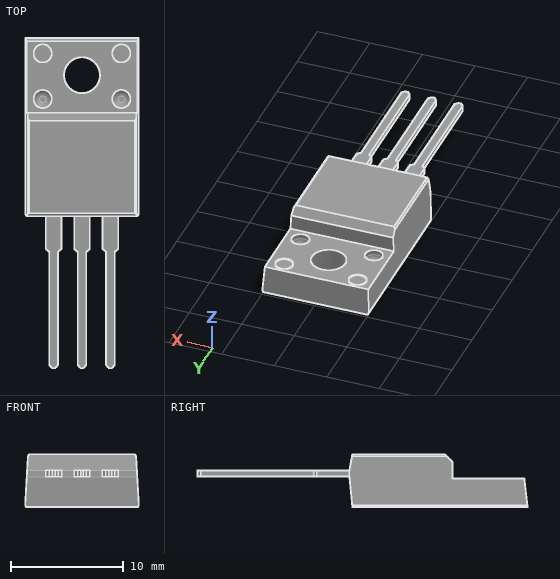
import cadquery as cq
import math

body_length = 15.85
body_height = 4.7
tab_height = 2.55
step_y = 9.2
step_chamfer = 0.7
back_draft = 0.3
front_draft = 0.25

widest_width = 10.13
underside_width = 9.93
shoulder_width = 9.63
top_width = 9.35
edge_height = 0.18

total_length = 29.37
lead_length = total_length - body_length
lead_bottom = 2.7
lead_thickness = 0.55
lead_top = lead_bottom + lead_thickness
lead_pitch = 2.53
lead_count = 3
wide_lead_width = 1.4
narrow_lead_width = 0.8
wide_lead_length = 2.9
lead_taper_length = 0.25
tip_length = 0.3
tip_width = 0.25

hole_diameter = 3.17
hole_y = 12.55
mark_x = 3.5
mark_diameter = 1.62
recess_y = 14.48
recess_depth = 0.1
dimple_y = 10.43
dimple_floor_diameter = 0.6
dimple_depth = 0.97


def mirrored(half):
    """Close a right-hand outline with its mirror image about the vertical axis."""
    return half + [(-across, along) for across, along in reversed(half)]


def make_body():
    """Intersect the stepped side profile with the tapered cross-section."""
    side_outline = [
        (front_draft, 0),
        (body_length, 0),
        (body_length - back_draft, tab_height),
        (step_y, tab_height),
        (step_y, body_height - step_chamfer),
        (step_y - step_chamfer, body_height),
        (front_draft, body_height),
        (0, lead_top),
        (0, lead_bottom),
    ]
    side = cq.Workplane("YZ").polyline(side_outline).close().extrude(widest_width / 2, both=True)
    section_outline = mirrored([
        (underside_width / 2, 0),
        (widest_width / 2, edge_height),
        (shoulder_width / 2, body_height - edge_height),
        (top_width / 2, body_height),
    ])
    section = cq.Workplane("XZ").polyline(section_outline).close().extrude(-body_length)
    return side.intersect(section)


def make_lead(x):
    """Flat lead with a wide root, a narrow shank and a bevelled tip."""
    outline = mirrored([
        (wide_lead_width / 2, 0),
        (wide_lead_width / 2, -wide_lead_length),
        (narrow_lead_width / 2, -wide_lead_length - lead_taper_length),
        (narrow_lead_width / 2, -lead_length + tip_length),
        (tip_width / 2, -lead_length),
    ])
    lead = cq.Workplane("XY").polyline(outline).close().extrude(lead_thickness)
    return lead.translate((x, 0, lead_bottom))


def tab_plane(x, y):
    """Workplane on the tab's upper face, centred at (x, y)."""
    return cq.Workplane("XY", origin=(x, y, tab_height))


def make_dimple(x):
    """Round pit: a straight wall, then a quarter-round down to a small flat floor."""
    mouth_radius = mark_diameter / 2
    floor_radius = dimple_floor_diameter / 2
    bend_radius = mouth_radius - floor_radius
    bend_center_z = bend_radius - dimple_depth
    arc_offset = bend_radius * math.sqrt(0.5)
    profile = (
        cq.Workplane("XZ", origin=(x, dimple_y, tab_height))
        .lineTo(mouth_radius, 0)
        .lineTo(mouth_radius, bend_center_z)
        .threePointArc(
            (floor_radius + arc_offset, bend_center_z - arc_offset),
            (floor_radius, -dimple_depth),
        )
        .lineTo(0, -dimple_depth)
        .close()
    )
    return profile.revolve(360, (0, 0, 0), (0, 1, 0))


result = make_body()

for index in range(lead_count):
    result = result.union(make_lead((index - (lead_count - 1) / 2) * lead_pitch))

result = result.cut(tab_plane(0, hole_y).circle(hole_diameter / 2).extrude(-tab_height))

for x in (-mark_x, mark_x):
    result = result.cut(tab_plane(x, recess_y).circle(mark_diameter / 2).extrude(-recess_depth))
    result = result.cut(make_dimple(x))